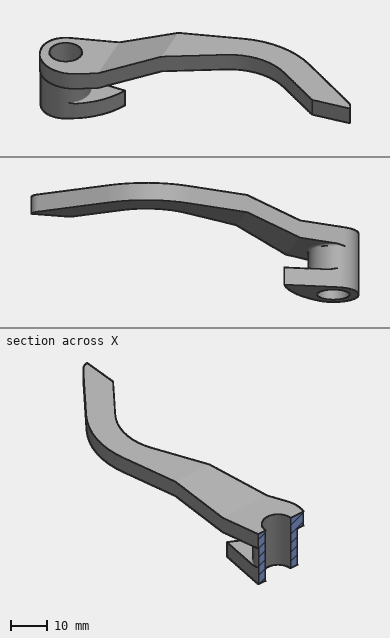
import cadquery as cq
import math

axis = (0.0, 0.0)
bore_radius = 4.5
boss_radius = 7.0
plate_thickness = 5.0
hub_top = 17.5
hub_bottom = hub_top - plate_thickness
root_fillet = 0.5

hub_round_radius = 9.5
hub_round_center = (hub_round_radius - boss_radius, 0.0)

step_start_x = 12.0
step_end_x = 28.0
step_rise = 5.0
arm_top = hub_top + step_rise

arm_width = 8.0
bend_outer_radius = 25.5
bend_inner_radius = bend_outer_radius - arm_width
bend_crest_y = 18.22
bend_center = (51.45, bend_crest_y - bend_outer_radius)

tip_x = 85.3
tip_flat_y = -2.7
tip_radius = 3.1
tip_center = (tip_x - tip_radius, tip_flat_y)

foot_thickness = 5.0
foot_arc_radius = 21.85
foot_arc_center = (-4.6, 14.2)
foot_tip_x = 15.45


def point_on_circle(center, radius, angle):
    return (center[0] + radius * math.cos(angle), center[1] + radius * math.sin(angle))


def tangent_normal(center_a, center_b, radius_change):
    """Direction of the normal of a line tangent to two circles.

    radius_change is the signed distance gained along the normal from center_a to center_b.
    """
    dx = center_b[0] - center_a[0]
    dy = center_b[1] - center_a[1]
    return math.atan2(dy, dx) + math.acos(radius_change / math.hypot(dx, dy))


def lever_outline():
    """Plan outline of the hub plate and arm."""
    upper = tangent_normal(axis, bend_center, boss_radius - bend_outer_radius)
    lower = tangent_normal(hub_round_center, bend_center, -hub_round_radius - bend_inner_radius)
    tail = tangent_normal(bend_center, tip_center, bend_outer_radius - tip_radius)

    hub_left = (-boss_radius, 0.0)
    upper_start = point_on_circle(axis, boss_radius, upper)
    upper_end = point_on_circle(bend_center, bend_outer_radius, upper)
    tail_start = point_on_circle(bend_center, bend_outer_radius, tail)
    tail_end = point_on_circle(tip_center, tip_radius, tail)
    inner_end = point_on_circle(bend_center, bend_inner_radius, tail)
    inner_start = point_on_circle(bend_center, bend_inner_radius, lower)
    lower_angle = lower + math.pi
    lower_start = point_on_circle(hub_round_center, hub_round_radius, lower_angle)
    flat_corner = (inner_end[0] + (inner_end[1] - tip_flat_y) * math.tan(tail), tip_flat_y)

    return (
        cq.Workplane("XY")
        .moveTo(*hub_left)
        .threePointArc(point_on_circle(axis, boss_radius, (upper + math.pi) / 2), upper_start)
        .lineTo(*upper_end)
        .threePointArc(point_on_circle(bend_center, bend_outer_radius, (upper + tail) / 2), tail_start)
        .lineTo(*tail_end)
        .threePointArc(point_on_circle(tip_center, tip_radius, tail / 2), (tip_x, tip_flat_y))
        .lineTo(*flat_corner)
        .lineTo(*inner_end)
        .threePointArc(point_on_circle(bend_center, bend_inner_radius, (lower + tail) / 2), inner_start)
        .lineTo(*lower_start)
        .threePointArc(
            point_on_circle(hub_round_center, hub_round_radius, (lower_angle + math.pi) / 2), hub_left
        )
        .close()
    )


def make_lever():
    """Outline prism trimmed by the cranked side profile."""
    margin = 5.0
    left = -boss_radius - margin
    right = tip_x + margin
    half_depth = hub_round_radius + bend_crest_y
    side_profile = (
        cq.Workplane("XZ")
        .moveTo(left, hub_top)
        .lineTo(step_start_x, hub_top)
        .lineTo(step_end_x, arm_top)
        .lineTo(right, arm_top)
        .lineTo(right, arm_top - plate_thickness)
        .lineTo(step_end_x, arm_top - plate_thickness)
        .lineTo(step_start_x, hub_bottom)
        .lineTo(left, hub_bottom)
        .close()
        .extrude(half_depth, both=True)
    )
    return lever_outline().extrude(arm_top).intersect(side_profile)


def foot_outline():
    """Cam arc from the boss to the foot tip, then a straight edge tangent to the boss."""
    center_distance = math.hypot(*foot_arc_center)
    center_direction = math.atan2(foot_arc_center[1], foot_arc_center[0])
    crossing_cosine = (boss_radius**2 + center_distance**2 - foot_arc_radius**2) / (
        2 * boss_radius * center_distance
    )
    crossing = point_on_circle(axis, boss_radius, center_direction + math.acos(crossing_cosine))
    crossing_angle = math.atan2(crossing[1] - foot_arc_center[1], crossing[0] - foot_arc_center[0])
    tip_angle = -math.acos((foot_tip_x - foot_arc_center[0]) / foot_arc_radius)
    tip = point_on_circle(foot_arc_center, foot_arc_radius, tip_angle)
    tip_direction = math.atan2(tip[1], tip[0])
    tangent_angle = tip_direction + math.acos(boss_radius / math.hypot(*tip))
    middle = point_on_circle(foot_arc_center, foot_arc_radius, (crossing_angle + tip_angle) / 2)
    return (
        cq.Workplane("XY")
        .moveTo(*crossing)
        .threePointArc(middle, tip)
        .lineTo(*point_on_circle(axis, boss_radius, tangent_angle))
        .lineTo(*axis)
        .close()
    )


def fillet_ring(face_z, away):
    """Concave fillet around the boss on a face at face_z; away is +1 or -1 along Z."""
    outer = boss_radius + root_fillet
    far_z = face_z + away * root_fillet
    arc_inset = root_fillet * (1 - math.sqrt(0.5))
    return (
        cq.Workplane("XZ")
        .moveTo(bore_radius, face_z)
        .lineTo(outer, face_z)
        .threePointArc((boss_radius + arc_inset, face_z + away * arc_inset), (boss_radius, far_z))
        .lineTo(bore_radius, far_z)
        .close()
        .revolve(360, (0, 0, 0), (0, 1, 0))
    )


def make_boss():
    """Round boss through the hub, split on the X axis where the hub rounding touches it."""
    return (
        cq.Workplane("XY")
        .moveTo(-boss_radius, 0)
        .threePointArc((0, boss_radius), (boss_radius, 0))
        .threePointArc((0, -boss_radius), (-boss_radius, 0))
        .close()
        .extrude(hub_top)
    )


foot = foot_outline().extrude(foot_thickness)
plate_fillet = fillet_ring(hub_bottom, -1).intersect(lever_outline().extrude(hub_top))
foot_fillet = fillet_ring(foot_thickness, 1).intersect(foot_outline().extrude(hub_bottom))
bore = cq.Workplane("XY").circle(bore_radius).extrude(hub_top)

upper_body = make_boss().union(make_lever(), clean=False).union(plate_fillet, clean=False)
result = upper_body.union(foot).union(foot_fillet).cut(bore)